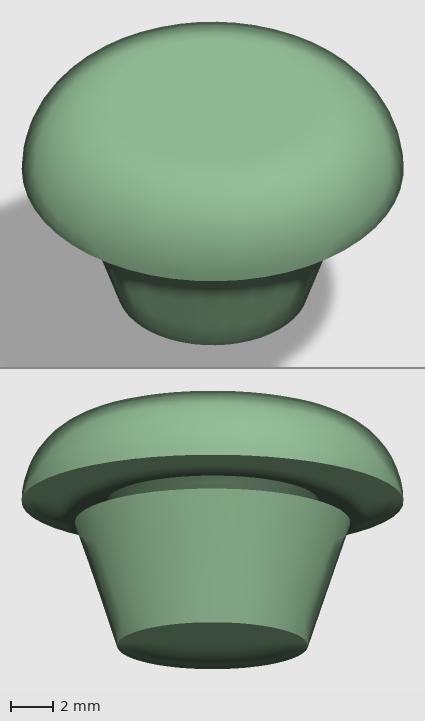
import cadquery as cq
import math

head_diameter = 18.0
head_height = 4.0
neck_height = 1.0
stem_height = 6.0
stem_top_diameter = 13.0
stem_bottom_diameter = 9.0

head_radius = head_diameter / 2
flat_radius = head_radius - head_height
neck_radius = flat_radius
stem_top_radius = stem_top_diameter / 2
stem_bottom_radius = stem_bottom_diameter / 2

neck_top = stem_height + neck_height
head_top = neck_top + head_height

arc_reach = head_height * math.sqrt(0.5)
arc_middle = (flat_radius + arc_reach, neck_top + arc_reach)

half_section = (
    cq.Workplane("XZ")
    .moveTo(0, 0)
    .lineTo(stem_bottom_radius, 0)
    .lineTo(stem_top_radius, stem_height)
    .lineTo(neck_radius, stem_height)
    .lineTo(neck_radius, neck_top)
    .lineTo(head_radius, neck_top)
    .threePointArc(arc_middle, (flat_radius, head_top))
    .lineTo(0, head_top)
    .close()
)

result = half_section.revolve(360, (0, 0, 0), (0, 1, 0))